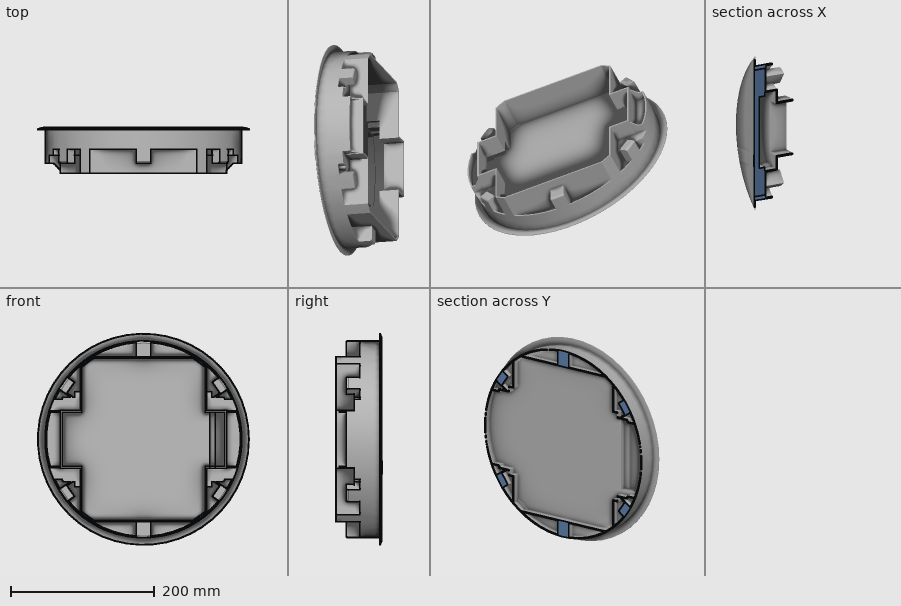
import cadquery as cq

tab_front = 14.0
shelf_front = 25.5
base_front = 44
ring_front = 33.5
lid_front = 46.0
flange_front = 61.0
flange_back = 63.5
bar_thickness = 1.0

flange_radius = 147
flange_back_radius = 141.7
flange_edge_thickness = 1.0
ring_radius = 137.0
wall = 2.0
ring_inner_radius = ring_radius - wall
lid_radius = 132.3

tray_half_x = 88.0
tray_half_z = 115.0
arm_half_x = 115.8
arm_half_z = 40.3
arm_wall = 2.5

shelf_inner_half_z = 66.2
shelf_middle_half_z = 58.8
shelf_outer_half_z = 55.5
shelf_inner_step_x = 95.3
shelf_outer_step_x = 113.0
shelf_step_fillet = 2.4

gusset_half_z = 39.5
gusset_top_x = 125.0
gusset_tip_depth = 4.7

tab_width = 20.3
tab_inner_radius = 124.0
tab_fillet = 3.0
tab_angle = 35
tab_rib_inner_radius = 108.8

recess_half_z = 51.5
recess_start_x = 92.3
recess_deep_start_x = 99.7
recess_step_depth = 8.8
recess_depth = 13.2

bar_top_z = -31.0
bar_height = 16.8


def block(x_min, x_max, z_min, z_max, front, back):
    return cq.Workplane("XY").box(
        x_max - x_min, back - front, z_max - z_min, centered=False
    ).translate((x_min, front, z_min))


def centred_block(half_x, half_z, front, back):
    return block(-half_x, half_x, -half_z, half_z, front, back)


def disc(radius, front, back):
    return cq.Workplane("XZ", origin=(0, back, 0)).circle(radius).extrude(back - front)


def tube(outer_radius, inner_radius, front, back):
    return disc(outer_radius, front, back).cut(disc(inner_radius, front, back))


def both_sides(solid):
    """The solid together with its mirror image across X = 0."""
    return solid.union(solid.mirror("YZ"))


def four_quadrants(solid):
    half = both_sides(solid)
    return half.union(half.mirror("XY"))


def make_flange():
    bevel_start = flange_front + flange_edge_thickness
    profile = [
        (lid_radius, flange_front),
        (flange_radius, flange_front),
        (flange_radius, bevel_start),
        (flange_back_radius, flange_back),
        (lid_radius, flange_back),
    ]
    return cq.Workplane("XY").polyline(profile).close().revolve(360, (0, 0, 0), (0, 1, 0))


def make_ring():
    """Cylindrical wall whose front edge steps forward beside the arms, with a ledge around the lid."""
    ring = tube(ring_radius, ring_inner_radius, ring_front, lid_front)
    for half_z, front in ((shelf_outer_half_z, shelf_front), (gusset_half_z, tab_front)):
        band = centred_block(flange_radius, half_z, front, lid_front)
        ring = ring.union(tube(ring_radius, ring_inner_radius, front, lid_front).intersect(band))
    return ring.union(tube(ring_radius, lid_radius, lid_front, flange_back))


def make_base():
    """Thin plate between the tray and the ring, lying on the rim of the lid."""
    base = disc(ring_radius, base_front, lid_front)
    opening = make_tray_space().intersect(disc(lid_radius, base_front, lid_front))
    return base.cut(opening)


def make_tray_walls():
    """Rectangular wall whose corners follow the ring."""
    outside = centred_block(tray_half_x, tray_half_z, 0, lid_front).intersect(disc(ring_radius, 0, lid_front))
    return outside.cut(make_tray_space())


def make_tray_space():
    space = centred_block(tray_half_x - wall, tray_half_z - wall, 0, lid_front)
    return space.intersect(disc(ring_inner_radius, 0, lid_front))


def shelf_prism(inset, front, back):
    """Block under both shelves, stepped in Z on its way out to the ring."""
    inner_z = shelf_inner_half_z - inset
    middle_z = shelf_middle_half_z - inset
    outer_z = shelf_outer_half_z - inset
    inner_step_x = shelf_inner_step_x - inset
    outer_step_x = shelf_outer_step_x - inset
    start_x = tray_half_x - wall
    upper_edge = [
        (start_x, inner_z),
        (inner_step_x, inner_z),
        (inner_step_x, middle_z),
        (outer_step_x, middle_z),
        (outer_step_x, outer_z),
        (ring_radius, outer_z),
    ]
    lower_edge = [(x, -z) for x, z in reversed(upper_edge)]
    prism = (
        cq.Workplane("XZ", origin=(0, back, 0))
        .polyline(upper_edge + lower_edge)
        .close()
        .extrude(back - front)
    )
    for side in (1, -1):
        corner = cq.selectors.NearestToPointSelector((outer_step_x, (front + back) / 2, side * middle_z))
        prism = prism.edges("|Y").edges(corner).fillet(shelf_step_fillet)
    return both_sides(prism.intersect(disc(ring_radius - inset, front, back)))


def make_gussets():
    """Thin webs that carry the arm's upper and lower walls out to the ring."""
    profile = [
        (arm_half_x - wall, shelf_front + wall),
        (arm_half_x - wall, gusset_tip_depth),
        (arm_half_x, gusset_tip_depth),
        (gusset_top_x, tab_front),
        (ring_radius, tab_front),
        (ring_radius, shelf_front + wall),
    ]
    web = cq.Workplane("XY", origin=(0, 0, gusset_half_z - wall)).polyline(profile).close().extrude(wall)
    return four_quadrants(web).intersect(disc(ring_radius, 0, lid_front))


def turned(solid, angle):
    """The solid turned from +X towards +Z."""
    return solid.rotate((0, 0, 0), (0, 1, 0), -angle)


def make_tabs():
    """Top and bottom tabs and four slanted ones, with their outer front edges rounded."""
    half_width = tab_width / 2
    top_inner_z = tray_half_z - wall / 2
    top_tab = block(-half_width, half_width, top_inner_z, flange_radius, tab_front, lid_front)
    slanted_tab = turned(
        block(tab_inner_radius, flange_radius, -half_width, half_width, tab_front, lid_front), tab_angle
    )
    rounded_disc = disc(ring_radius, tab_front, lid_front).faces("<Y").edges().fillet(tab_fillet)
    tabs = four_quadrants(slanted_tab).union(top_tab).union(top_tab.mirror("XY"))
    return tabs.intersect(rounded_disc)


def make_ribs():
    """Thin ribs that run on from the inner side of each slanted tab to the stepped shelf."""
    inner_side = -tab_width / 2
    rib = block(
        tab_rib_inner_radius, tab_inner_radius + wall, inner_side, inner_side + wall, shelf_front, lid_front
    )
    return four_quadrants(turned(rib, tab_angle))


def make_housing():
    shelf_back = shelf_front + wall
    arms = centred_block(arm_half_x, arm_half_z, 0, shelf_back)
    arms = arms.cut(centred_block(tray_half_x - wall, arm_half_z, 0, shelf_back))
    arm_space = centred_block(arm_half_x - arm_wall, arm_half_z - arm_wall, 0, shelf_back)
    housing = make_ring().union(make_base()).union(make_flange()).union(make_tabs()).union(make_ribs())
    housing = housing.union(shelf_prism(0, shelf_front, lid_front))
    housing = housing.cut(shelf_prism(wall, shelf_back, lid_front))
    tray = make_tray_walls().cut(shelf_prism(wall, shelf_back, lid_front))
    housing = housing.union(tray).union(arms).union(make_gussets())
    return housing.cut(arm_space)


def make_lid():
    lid = disc(lid_radius, lid_front, flange_back)
    for start_x, depth in ((recess_start_x, recess_step_depth), (recess_deep_start_x, recess_depth)):
        recess = block(start_x, lid_radius, -recess_half_z, recess_half_z, lid_front, lid_front + depth)
        lid = lid.cut(recess)
    return lid


def make_bar():
    bar_back = flange_back + bar_thickness
    strip = block(-flange_radius, flange_radius, bar_top_z - bar_height, bar_top_z, flange_back, bar_back)
    return strip.intersect(disc(flange_back_radius, flange_back, bar_back))


housing = make_housing()
lid = make_lid()
bar = make_bar()
result = cq.Compound.makeCompound([housing.val(), lid.val(), bar.val()])